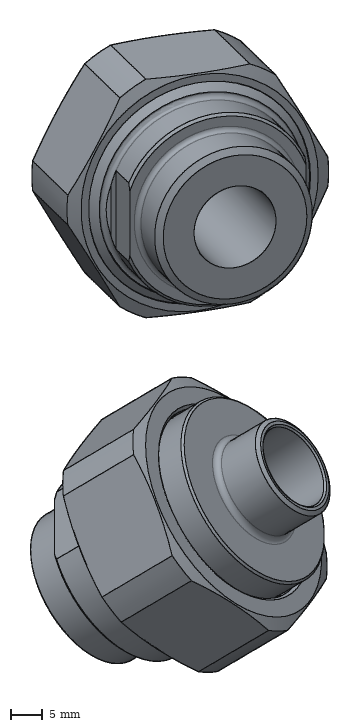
import cadquery as cq
import math

total_length = 46.0
bore_radius = 14.0 / 2
mouth_chamfer = 0.3

across_flats = 41.0
corner_radius = 44.65 / 2
nut_start = 13.5
nut_length = 17.0
nut_face_radius = 20.25
nut_chamfer_length = 0.8
nut_lip_length = 3.1
nut_lip_radius = 33.5 / 2
nut_lip_chamfer = 0.5
thread_radius = 37.85 / 2
nut_end = nut_start + nut_length
lip_end = nut_start + nut_lip_length

pipe_radius = 17.2 / 2
pipe_chamfer_length = 0.45
pipe_chamfer_height = 0.75
pipe_fillet = 1.0
flange_start = 8.92
flange_radius = 33.0 / 2
flange_chamfer = 0.35
collar_radius = 36.4 / 2
collar_length = 3.7
joint_face = lip_end + collar_length

thread_end = 31.5
thread_end_radius = 17.53
shoulder_radius = flange_radius
shoulder_start = 32.48
shoulder_end = 38.5
shoulder_chamfer = 0.45
shoulder_fillet = 0.9
flat_offset = 15.05
flat_wall_height = 15.9
flat_bevel_height = 0.9
flat_bevel_length = flat_bevel_height * math.tan(math.radians(30))
spigot_radius = 26.9 / 2
spigot_fillet = 0.85
spigot_chamfer_length = 0.7
spigot_chamfer_height = spigot_chamfer_length * math.tan(math.radians(60))


def revolve(outline):
    """Revolve a closed XY outline (X along the axis, Y as radius) about X."""
    return outline.close().revolve(360, (0, 0, 0), (1, 0, 0))


def concave_arc_middle(center_x, center_radius, fillet, side):
    """Middle point of a fillet quarter; side is -1 or +1 along X from its centre."""
    reach = fillet * math.sqrt(0.5)
    return center_x + side * reach, center_radius - reach


def make_nut():
    hexagon = (
        cq.Workplane("YZ", origin=(nut_start, 0, 0))
        .polygon(6, across_flats / math.cos(math.pi / 6))
        .extrude(nut_length)
    )
    envelope = revolve(
        cq.Workplane("XY")
        .moveTo(nut_start, 0)
        .lineTo(nut_start, nut_face_radius)
        .lineTo(nut_start + nut_chamfer_length, corner_radius)
        .lineTo(nut_end - nut_chamfer_length, corner_radius)
        .lineTo(nut_end, nut_face_radius)
        .lineTo(nut_end, 0)
    )
    opening = revolve(
        cq.Workplane("XY")
        .moveTo(nut_start, 0)
        .lineTo(nut_start, nut_lip_radius + nut_lip_chamfer)
        .lineTo(nut_start + nut_lip_chamfer, nut_lip_radius)
        .lineTo(lip_end, nut_lip_radius)
        .lineTo(lip_end, thread_radius)
        .lineTo(nut_end, thread_radius)
        .lineTo(nut_end, 0)
    )
    return hexagon.intersect(envelope).cut(opening)


def make_tailpiece():
    fillet_start = flange_start - pipe_fillet
    fillet_top = pipe_radius + pipe_fillet
    return revolve(
        cq.Workplane("XY")
        .moveTo(mouth_chamfer, bore_radius)
        .lineTo(0, bore_radius + mouth_chamfer)
        .lineTo(0, pipe_radius - pipe_chamfer_height)
        .lineTo(pipe_chamfer_length, pipe_radius)
        .lineTo(fillet_start, pipe_radius)
        .threePointArc(
            concave_arc_middle(fillet_start, fillet_top, pipe_fillet, 1),
            (flange_start, fillet_top),
        )
        .lineTo(flange_start, flange_radius - flange_chamfer)
        .lineTo(flange_start + flange_chamfer, flange_radius)
        .lineTo(lip_end, flange_radius)
        .lineTo(lip_end, collar_radius)
        .lineTo(joint_face, collar_radius)
        .lineTo(joint_face, bore_radius)
    )


def make_flat_cutter():
    """Cutter for the +Y wrench flat, with a 30 degree bevel on its end wall."""
    cutter_top = flat_wall_height + flat_bevel_height
    return (
        cq.Workplane("XY")
        .moveTo(shoulder_start, flat_offset)
        .lineTo(shoulder_start, flat_wall_height)
        .lineTo(shoulder_start - flat_bevel_length, cutter_top)
        .lineTo(shoulder_end, cutter_top)
        .lineTo(shoulder_end, flat_offset)
        .close()
        .extrude(shoulder_radius, both=True)
    )


def make_threaded_body():
    thread_chamfer = thread_radius - thread_end_radius
    shoulder_fillet_top = shoulder_radius + shoulder_fillet
    spigot_fillet_end = shoulder_end + spigot_fillet
    spigot_fillet_top = spigot_radius + spigot_fillet
    body = revolve(
        cq.Workplane("XY")
        .moveTo(joint_face, bore_radius)
        .lineTo(joint_face, thread_radius)
        .lineTo(thread_end - thread_chamfer, thread_radius)
        .lineTo(thread_end, thread_end_radius)
        .lineTo(shoulder_start - shoulder_fillet, shoulder_fillet_top)
        .threePointArc(
            concave_arc_middle(shoulder_start, shoulder_fillet_top, shoulder_fillet, -1),
            (shoulder_start, shoulder_radius),
        )
        .lineTo(shoulder_end - shoulder_chamfer, shoulder_radius)
        .lineTo(shoulder_end, shoulder_radius - shoulder_chamfer)
        .lineTo(shoulder_end, spigot_fillet_top)
        .threePointArc(
            concave_arc_middle(spigot_fillet_end, spigot_fillet_top, spigot_fillet, -1),
            (spigot_fillet_end, spigot_radius),
        )
        .lineTo(total_length - spigot_chamfer_length, spigot_radius)
        .lineTo(total_length, spigot_radius - spigot_chamfer_height)
        .lineTo(total_length, bore_radius)
    )
    flat_cutter = make_flat_cutter()
    for turn in (0, 180):
        body = body.cut(flat_cutter.rotate((0, 0, 0), (1, 0, 0), turn))
    return body


nut = make_nut()
tailpiece = make_tailpiece()
threaded_body = make_threaded_body()

result = cq.Compound.makeCompound([nut.val(), tailpiece.val(), threaded_body.val()])